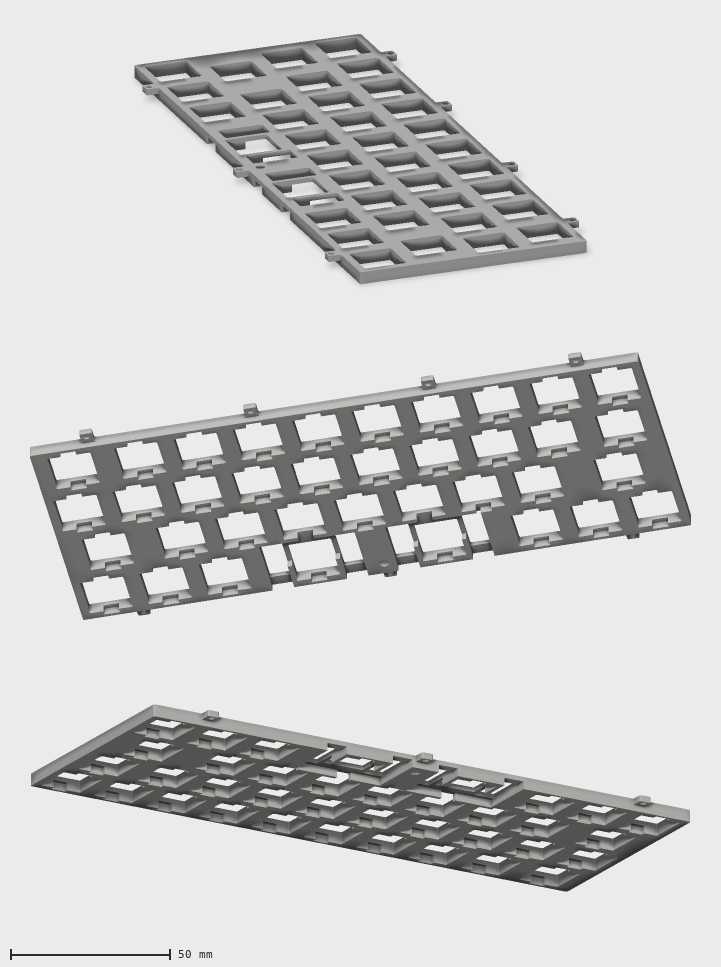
import cadquery as cq

UNIT = 19.05
ROW_COUNT = 4
ROW_UNITS = 10.25
WIDTH = ROW_UNITS * UNIT
DEPTH = ROW_COUNT * UNIT

THICKNESS = 4.0
CLIP_THICKNESS = 1.5
RELIEF_HEIGHT = THICKNESS - CLIP_THICKNESS
CORNER_RADIUS = 0.5

KEY_ROWS = [
    [1.0] * 9 + [1.25],
    [1.25] + [1.0] * 9,
    [1.75] + [1.0] * 7 + [1.5],
    [1.0] * 3 + [2.25, 2.0] + [1.0] * 3,
]
STABILIZED_FROM = 2.0

SWITCH_SIZE = 14.0
SWITCH_CORNER_RADIUS = 0.5
CLIP_WIDTH = 5.0
CLIP_RELIEF_DEPTH = 1.5

STABILIZER_SPACING = 23.876
STABILIZER_WIDTH = 7.0
STABILIZER_LENGTH = 15.0
STABILIZER_CORNER_RADIUS = 0.5
STABILIZER_SHIFT = 1.5
STABILIZER_BACK_RELIEF = 1.6

TAB_WIDTH = 4.0
TAB_LENGTH = 4.0
TAB_THICKNESS = 2.0
TAB_OVERLAP = 0.5
TAB_BASE_RADIUS = 0.5
TAB_TIP_RADIUS = 0.5
TAB_HOLE_DIAMETER = 2.0
TAB_HOLE_TO_TIP = 1.5
LEFT_TAB_X = 19.4
RIGHT_TAB_X = 176.45
BACK_TAB_X = [LEFT_TAB_X, 66.8, 123.8, RIGHT_TAB_X]
FRONT_TAB_X = [LEFT_TAB_X, 97.25, RIGHT_TAB_X]

SCREW_HOLE_DIAMETER = 3.0
SCREW_HOLE_X = WIDTH / 2
SCREW_HOLE_Y = 4.4


def box(x_min, x_max, y_min, y_max, height):
    """Box standing on the underside plane."""
    size_x = x_max - x_min
    size_y = y_max - y_min
    return cq.Workplane("XY").box(size_x, size_y, height, centered=False).translate((x_min, y_min, 0))


def key_centers():
    """List of (x, y, key width in units)."""
    centers = []
    for row, widths in enumerate(KEY_ROWS):
        y = DEPTH - (row + 0.5) * UNIT
        left = 0.0
        for width in widths:
            centers.append(((left + width / 2) * UNIT, y, width))
            left += width
    return centers


def tab(x, edge_y, outward):
    """Tab at the plate edge; outward is +1 at the back edge and -1 at the front edge."""
    half = TAB_WIDTH / 2
    flare = half + TAB_BASE_RADIUS
    body = (
        cq.Workplane("XY")
        .moveTo(-flare, -TAB_OVERLAP)
        .lineTo(-flare, 0)
        .radiusArc((-half, TAB_BASE_RADIUS), -TAB_BASE_RADIUS)
        .lineTo(-half, TAB_LENGTH - TAB_TIP_RADIUS)
        .radiusArc((-half + TAB_TIP_RADIUS, TAB_LENGTH), TAB_TIP_RADIUS)
        .lineTo(half - TAB_TIP_RADIUS, TAB_LENGTH)
        .radiusArc((half, TAB_LENGTH - TAB_TIP_RADIUS), TAB_TIP_RADIUS)
        .lineTo(half, TAB_BASE_RADIUS)
        .radiusArc((flare, 0), -TAB_BASE_RADIUS)
        .lineTo(flare, -TAB_OVERLAP)
        .close()
        .extrude(TAB_THICKNESS)
    )
    hole = (
        cq.Workplane("XY")
        .center(0, TAB_LENGTH - TAB_HOLE_TO_TIP)
        .circle(TAB_HOLE_DIAMETER / 2)
        .extrude(TAB_THICKNESS)
    )
    body = body.cut(hole)
    if outward < 0:
        body = body.rotate((0, 0, 0), (0, 0, 1), 180)
    return body.translate((x, edge_y, THICKNESS - TAB_THICKNESS))


def switch_openings(centers):
    """Square openings through the plate."""
    return (
        cq.Workplane("XY")
        .pushPoints(centers)
        .rect(SWITCH_SIZE, SWITCH_SIZE)
        .extrude(THICKNESS)
        .edges("|Z")
        .fillet(SWITCH_CORNER_RADIUS)
    )


def clip_reliefs(centers):
    """Reliefs below the clip layer, reaching past the back and front edges of the switch openings."""
    length = SWITCH_SIZE + 2 * CLIP_RELIEF_DEPTH
    return cq.Workplane("XY").pushPoints(centers).rect(CLIP_WIDTH, length).extrude(RELIEF_HEIGHT)


def stabilizer_cutter(x, y):
    """Both slots of one stabilizer and their relief below the clip layer.

    One relief joins the slots behind the key centre, and a channel from each slot runs out to the front.
    """
    half_width = STABILIZER_WIDTH / 2
    half_span = STABILIZER_SPACING / 2 + half_width
    slot_back = y + STABILIZER_SHIFT + STABILIZER_LENGTH / 2
    slot_front = slot_back - STABILIZER_LENGTH
    relief_back = slot_back + STABILIZER_BACK_RELIEF
    relief_front = y
    cutter = box(x - half_span, x + half_span, relief_front, relief_back, RELIEF_HEIGHT)
    for side in (-1, 1):
        slot_x = x + side * STABILIZER_SPACING / 2
        left = slot_x - half_width
        right = slot_x + half_width
        slot = box(left, right, slot_front, slot_back, THICKNESS)
        slot = slot.edges("|Z").fillet(STABILIZER_CORNER_RADIUS)
        channel = box(left, right, 0, relief_back, RELIEF_HEIGHT)
        cutter = cutter.union(slot).union(channel)
    return cutter


plate = box(0, WIDTH, 0, DEPTH, THICKNESS).edges("|Z").fillet(CORNER_RADIUS)
for tab_x in BACK_TAB_X:
    plate = plate.union(tab(tab_x, DEPTH, 1))
for tab_x in FRONT_TAB_X:
    plate = plate.union(tab(tab_x, 0, -1))

keys = key_centers()
switch_points = [(x, y) for x, y, width in keys]
plate = plate.cut(switch_openings(switch_points))
plate = plate.cut(clip_reliefs(switch_points))
for key_x, key_y, key_width in keys:
    if key_width >= STABILIZED_FROM:
        plate = plate.cut(stabilizer_cutter(key_x, key_y))

screw_hole = (
    cq.Workplane("XY")
    .center(SCREW_HOLE_X, SCREW_HOLE_Y)
    .circle(SCREW_HOLE_DIAMETER / 2)
    .extrude(THICKNESS)
)
result = plate.cut(screw_hole)